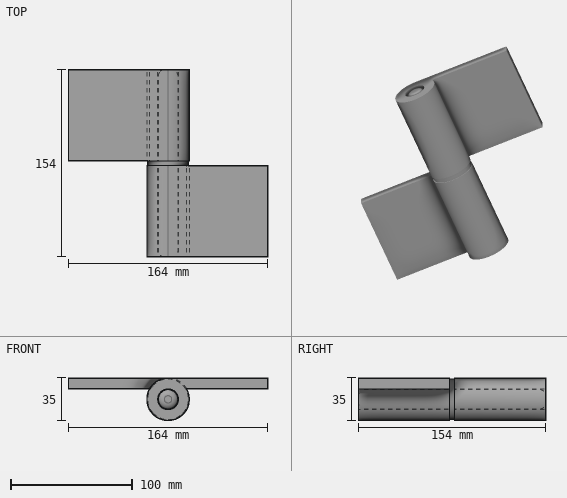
import cadquery as cq

barrel_radius = 17.5
leaf_reach = 82.0
leaf_length = 75.0
bore_radius = 8.5
leaf_thickness = barrel_radius - bore_radius

collar_width = 4.0
collar_radius = 16.75
pin_clearance = 0.5
pin_radius = bore_radius - pin_clearance
pin_end_round = 5.0

leaf_start = collar_width / 2
leaf_end = leaf_start + leaf_length


def cylinder_along_y(radius, half_length):
    """Cylinder on the hinge axis, centred on the origin."""
    return cq.Workplane("XZ", origin=(0, half_length, 0)).circle(radius).extrude(2 * half_length)


def make_leaf():
    """Leaf towards +X on the -Y side, its flat top tangent to its bored barrel."""
    front_half = cq.Workplane("XZ", origin=(0, -leaf_start, 0))
    barrel = front_half.circle(barrel_radius).extrude(leaf_length)
    plate = (
        front_half.moveTo(0, bore_radius)
        .rect(leaf_reach, leaf_thickness, centered=False)
        .extrude(leaf_length)
    )
    bore = cylinder_along_y(bore_radius, leaf_end)
    return barrel.union(plate).cut(bore)


def make_pin():
    """Round-ended pin, flush with the outer barrel ends, with a spacer collar."""
    shaft = cylinder_along_y(pin_radius, leaf_end).faces("<Y or >Y").edges().fillet(pin_end_round)
    collar = cylinder_along_y(collar_radius, collar_width / 2)
    return shaft.union(collar)


leaves = [make_leaf().rotate((0, 0, 0), (0, 0, 1), turn) for turn in (0, 180)]
pin = make_pin()

result = cq.Compound.makeCompound([leaf.val() for leaf in leaves] + [pin.val()])